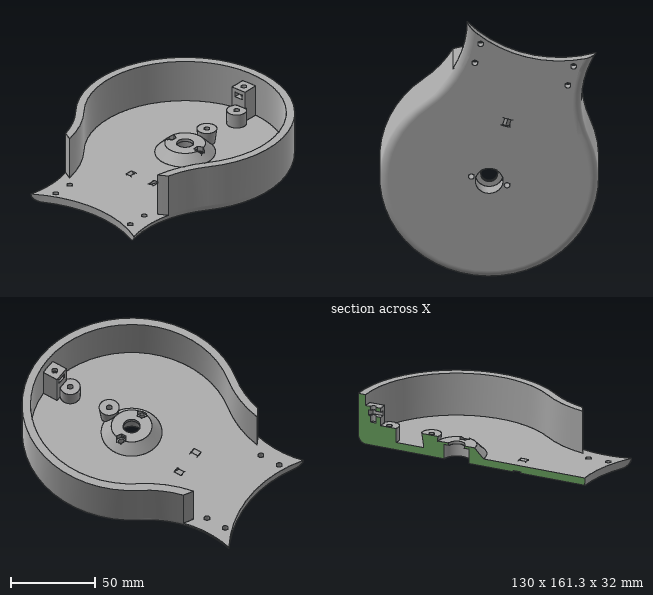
import cadquery as cq
import math

disc_radius = 65.0
wall_thickness = 5.0
plate_thickness = 5.0
total_height = 32.0
edge_fillet = plate_thickness
neck_drop = 80.0
seat_radius = 75.0
seat_drop = 2 * neck_drop
neck_end_drop = 104.8

hub_base_radius = 18.0
hub_height = 6.0
hub_top_radius = hub_base_radius - hub_height
hub_top = plate_thickness + hub_height
shaft_hole_diameter = 10.0
recess_diameter = 16.5
recess_roof = 1.8
hub_screw_offset = 11.0
hub_nut_depth = 3.0

screw_hole_diameter = 3.4
nut_diameter = 6.3
nut_flats = nut_diameter * math.cos(math.pi / 6)

post_diameter = 12.0
post_foot_diameter = 8.4
post_top = 13.9
post_x = 2.3
lower_post_y = 17.5
upper_post_y = 45.5

block_width = 10.0
block_top = 25.0
block_screw_depth = 10.0
block_nut_floor = 19.2
block_nut_height = 3.0

foot_hole_x = 28.5
foot_hole_rows = (-73.2, -86.3)

strap_width = 5.0
strap_y = -neck_drop / 2
strap_inner_x = 7.3
strap_outer_x = 10.6
strap_slope = math.radians(30)


def box(width, depth, y, bottom, top):
    return cq.Workplane("XY", origin=(0, y, bottom)).rect(width, depth).extrude(top - bottom)


def rod(diameter, x, y, bottom, top):
    return cq.Workplane("XY", origin=(x, y, bottom)).circle(diameter / 2).extrude(top - bottom)


def cone(bottom_radius, top_radius, x, y, bottom, top):
    axis_start = cq.Vector(x, y, bottom)
    solid = cq.Solid.makeCone(bottom_radius, top_radius, top - bottom, axis_start, cq.Vector(0, 0, 1))
    return cq.Workplane(obj=solid)


def nut(x, y, bottom, height):
    """Hexagonal prism with corners pointing along Y."""
    hexagon = cq.Workplane("XY").polygon(6, nut_diameter).extrude(height)
    return hexagon.rotate((0, 0, 0), (0, 0, 1), 90).translate((x, y, bottom))


def keyhole(inset, height):
    """Disc running tangentially into a waisted neck, offset inward by inset."""
    round_radius = disc_radius - inset
    neck_radius = disc_radius + inset
    neck_x = math.sqrt((2 * disc_radius) ** 2 - neck_drop ** 2)
    join_x = neck_x * round_radius / (2 * disc_radius)
    join_y = -neck_drop * round_radius / (2 * disc_radius)
    waist_x = neck_x - neck_radius
    end_y = -neck_end_drop
    end_x = neck_x - math.sqrt(neck_radius ** 2 - (end_y + neck_drop) ** 2)
    return (
        cq.Workplane("XY")
        .moveTo(join_x, join_y)
        .threePointArc((0, round_radius), (-join_x, join_y))
        .threePointArc((-waist_x, -neck_drop), (-end_x, end_y))
        .lineTo(end_x, end_y)
        .threePointArc((waist_x, -neck_drop), (join_x, join_y))
        .close()
        .extrude(height)
    )


result = keyhole(0, total_height).faces("<Z").edges("%CIRCLE").fillet(edge_fillet)
result = result.cut(keyhole(wall_thickness, total_height).translate((0, 0, plate_thickness)))

wall_zone = rod(2 * seat_radius, 0, 0, plate_thickness, total_height)
plate_zone = box(2 * neck_end_drop, 2 * neck_end_drop, 0, 0, plate_thickness)
result = result.intersect(plate_zone.union(wall_zone))

result = result.cut(rod(2 * seat_radius, 0, -seat_drop, 0, total_height))

lower_post = cone(post_foot_diameter / 2, post_diameter / 2, post_x, lower_post_y, 0, post_top)
upper_post = rod(post_diameter, post_x, upper_post_y, 0, post_top)
result = result.union(lower_post).union(upper_post)

hub = cone(hub_base_radius, hub_top_radius, 0, 0, plate_thickness, hub_top)
result = result.union(hub)
result = result.cut(rod(shaft_hole_diameter, 0, 0, 0, hub_top))
result = result.cut(rod(recess_diameter, 0, 0, 0, hub_top - recess_roof))
for side in (-1, 1):
    screw_x = side * hub_screw_offset
    result = result.cut(rod(screw_hole_diameter, screw_x, 0, 0, hub_top))
    result = result.cut(nut(screw_x, 0, hub_top - hub_nut_depth, hub_nut_depth))

for post_y in (lower_post_y, upper_post_y):
    result = result.cut(rod(screw_hole_diameter, post_x, post_y, plate_thickness, post_top))

block_front_y = disc_radius - wall_thickness - block_width
block_y = block_front_y + block_width / 2
block_nut_roof = block_nut_floor + block_nut_height
block = box(block_width, block_width, block_y, plate_thickness, block_top)
nut_slot = box(nut_flats, block_width, block_front_y, block_nut_floor, block_nut_roof)
block = block.cut(nut_slot).cut(nut(0, block_y, block_nut_floor, block_nut_height))
block = block.cut(rod(screw_hole_diameter, 0, block_y, block_top - block_screw_depth, block_top))
result = result.union(block)

for hole_y in foot_hole_rows:
    for side in (-1, 1):
        result = result.cut(rod(screw_hole_diameter, side * foot_hole_x, hole_y, 0, plate_thickness))

inner_dip = plate_thickness - strap_inner_x * math.tan(strap_slope)
outer_dip = plate_thickness - strap_outer_x * math.tan(strap_slope)
strap = (
    cq.Workplane("XZ", origin=(0, strap_y + strap_width / 2, 0))
    .moveTo(-strap_outer_x, plate_thickness)
    .lineTo(0, outer_dip)
    .lineTo(strap_outer_x, plate_thickness)
    .lineTo(strap_inner_x, plate_thickness)
    .lineTo(0, inner_dip)
    .lineTo(-strap_inner_x, plate_thickness)
    .close()
    .extrude(strap_width)
)
result = result.cut(strap)